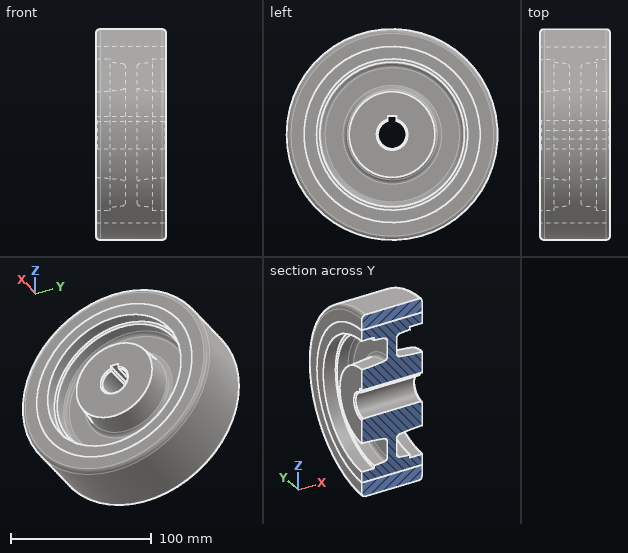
import cadquery as cq
import math

width = 50.0
half_width = width / 2

tyre_radius = 75.0
tyre_edge_fillet = 3.0
core_radius = 62.5

rim_mouth_radius = 53.7
rim_step_radius = 51.5
rim_step_depth = 10.0
web_thickness = 8.0
hub_face_radius = 30.5
draft_angle = 5.0
web_fillet = 3.0

bore_radius = 10.0
bore_chamfer = 1.0
key_width = 6.0
key_top = 13.0

half_web = web_thickness / 2
step_x = half_width - rim_step_depth
draft_slope = math.tan(math.radians(draft_angle))
rim_root_radius = rim_step_radius - (step_x - half_web) * draft_slope
hub_root_radius = hub_face_radius + (half_width - half_web) * draft_slope


def make_tyre():
    """Plain ring with rounded outer edges."""
    blank = cq.Workplane("YZ", origin=(-half_width, 0, 0)).circle(tyre_radius).extrude(width)
    blank = blank.edges().fillet(tyre_edge_fillet)
    opening = cq.Workplane("YZ", origin=(-half_width, 0, 0)).circle(core_radius).extrude(width)
    return blank.cut(opening)


def make_recess():
    """Annular recess on the +X side, between hub and rim, rounded where it meets the web."""
    profile = [
        (half_width, hub_face_radius),
        (half_web, hub_root_radius),
        (half_web, rim_root_radius),
        (step_x, rim_step_radius),
        (step_x, rim_mouth_radius),
        (half_width, rim_mouth_radius),
    ]
    recess = cq.Workplane("XY").polyline(profile).close().revolve(360, (0, 0), (1, 0))
    return recess.faces("<X").edges().fillet(web_fillet)


def make_bore():
    """Through bore with both mouths chamfered, plus a keyway on the +Z side."""
    mouth_radius = bore_radius + bore_chamfer
    profile = [
        (-half_width, 0),
        (-half_width, mouth_radius),
        (-half_width + bore_chamfer, bore_radius),
        (half_width - bore_chamfer, bore_radius),
        (half_width, mouth_radius),
        (half_width, 0),
    ]
    bore = cq.Workplane("XY").polyline(profile).close().revolve(360, (0, 0), (1, 0))
    keyway = cq.Workplane("XY").box(width, key_width, key_top, centered=(True, True, False))
    return bore.union(keyway)


def make_core():
    """Rim, web and hub in one piece, recessed alike on both sides."""
    core = cq.Workplane("YZ", origin=(-half_width, 0, 0)).circle(core_radius).extrude(width)
    recess = make_recess()
    core = core.cut(recess).cut(recess.mirror("YZ"))
    return core.cut(make_bore())


tyre = make_tyre()
core = make_core()
result = cq.Compound.makeCompound([tyre.val(), core.val()])